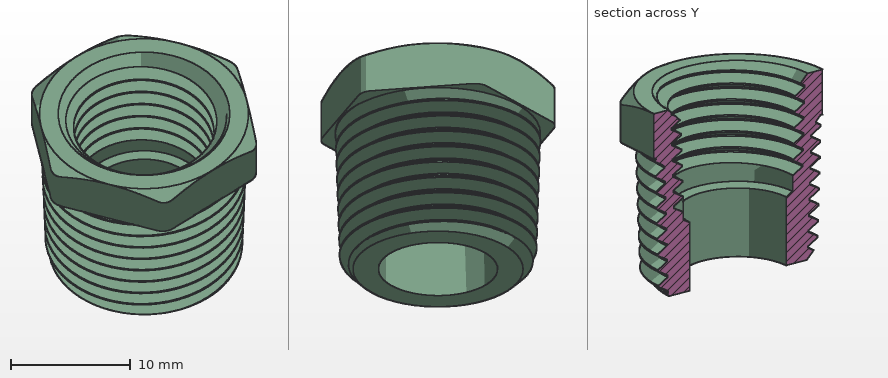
import cadquery as cq
import math

height = 16.75
across_flats = 17.47
across_corners = 19.76
head_bottom = 12.69
head_chamfer_angle = 30.0

pitch = 1.413
thread_depth = 0.978
taper = 1 / 32
flank_angle = 30.0
flank_slope = math.tan(math.radians(flank_angle))
root_flat = pitch / 2 - thread_depth * flank_slope
overcut = 0.08
blank_excess = 3.95

stem_crest_radius = 8.2
stem_tip_radius = 7.11
stem_first_groove = 0.43
stem_groove_start = stem_first_groove - pitch
stem_flare_radius = 8.55
stem_flare_height = 1.28

bore_radius = 4.98
mouth_radius = 7.17
thread_end = 6.52
tapered_hole_radius = 5.61
shoulder_angle = 30.0
bore_groove_top = 16.36
bore_groove_turns = 6
runout_turns = 2


def revolve_profile(points):
    """Turn an outline of (radius, height) points around the Z axis."""
    return cq.Workplane("XZ").polyline(points).close().revolve(360, (0, 0, 0), (0, 1, 0))


def helical_groove(crest_radius, start, length, outward):
    """V-groove cutter on a tapered right-hand helix, cut outward or inward from the crests."""
    direction = 1 if outward else -1
    root_radius = crest_radius + direction * thread_depth
    open_radius = crest_radius - direction * overcut
    root_half = root_flat / 2
    open_half = root_half + (thread_depth + overcut) * flank_slope
    taper_angle = math.degrees(math.atan(taper))
    path = cq.Wire.makeHelix(pitch, length, crest_radius, angle=taper_angle)
    profile = cq.Workplane("XZ").polyline([
        (open_radius, -open_half),
        (root_radius, -root_half),
        (root_radius, root_half),
        (open_radius, open_half),
    ]).close()
    return profile.sweep(cq.Workplane(path), isFrenet=True).translate((0, 0, start))


def make_head():
    flat_radius = across_flats / 2
    corner_ratio = 1 / math.cos(math.pi / 6)
    sharp_radius = flat_radius * corner_ratio
    corner_trim = sharp_radius - across_corners / 2
    corner_fillet = corner_trim / (corner_ratio - 1)
    hexagon = (
        cq.Workplane("XY", origin=(0, 0, head_bottom))
        .polygon(6, 2 * sharp_radius)
        .extrude(height - head_bottom)
        .rotate((0, 0, 0), (0, 0, 1), 30)
        .edges("|Z")
        .fillet(corner_fillet)
    )
    chamfer_drop = (sharp_radius - flat_radius) * math.tan(math.radians(head_chamfer_angle))
    envelope = revolve_profile([
        (0, head_bottom),
        (sharp_radius, head_bottom),
        (sharp_radius, height - chamfer_drop),
        (flat_radius, height),
        (0, height),
    ])
    return hexagon.intersect(envelope)


def tapered_blank(radius_at_zero, bottom, top):
    """Plain cone with the thread taper, between two heights."""
    return revolve_profile([
        (0, bottom),
        (radius_at_zero + bottom * taper, bottom),
        (radius_at_zero + top * taper, top),
        (0, top),
    ])


def make_stem():
    blank = tapered_blank(stem_crest_radius, -blank_excess, head_bottom + blank_excess)
    groove = helical_groove(
        stem_crest_radius + stem_groove_start * taper,
        stem_groove_start,
        head_bottom - stem_groove_start + pitch,
        outward=False,
    )
    envelope = revolve_profile([
        (0, 0),
        (stem_tip_radius, 0),
        (stem_tip_radius + head_bottom, head_bottom),
        (0, head_bottom),
    ])
    flare = revolve_profile([
        (0, head_bottom - stem_flare_height),
        (stem_flare_radius - stem_flare_height, head_bottom - stem_flare_height),
        (stem_flare_radius, head_bottom),
        (0, head_bottom),
    ])
    return blank.cut(groove).intersect(envelope).union(flare)


def make_threaded_hole():
    """Solid with the shape of the whole opening: bore, shoulder, thread and mouth."""
    radius_at_zero = tapered_hole_radius - thread_end * taper
    groove_start = bore_groove_top - bore_groove_turns * pitch
    groove = helical_groove(
        radius_at_zero + groove_start * taper,
        groove_start,
        (bore_groove_turns + runout_turns) * pitch,
        outward=True,
    )
    thread = tapered_blank(radius_at_zero, thread_end, height + blank_excess).union(groove)
    thread = thread.intersect(cq.Workplane("XY").circle(across_flats / 2).extrude(height))

    shoulder_drop = (tapered_hole_radius - bore_radius) * math.tan(math.radians(shoulder_angle))
    bore = revolve_profile([
        (0, 0),
        (bore_radius, 0),
        (bore_radius, thread_end - shoulder_drop),
        (tapered_hole_radius, thread_end),
        (0, thread_end),
    ])
    mouth = revolve_profile([
        (0, height - mouth_radius),
        (mouth_radius, height),
        (0, height),
    ])
    return thread.union(bore).union(mouth)


result = make_head().union(make_stem()).cut(make_threaded_hole())